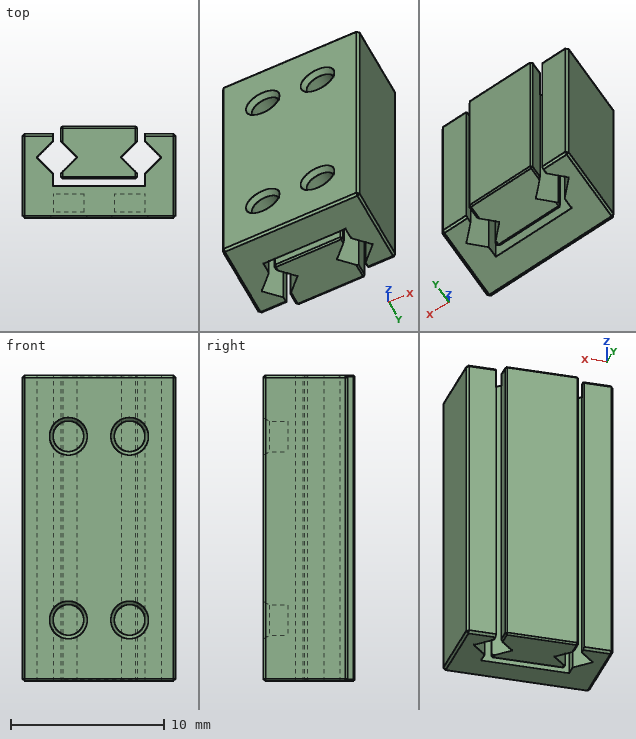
import cadquery as cq

LENGTH = 20.0
HOUSING_WIDTH = 10.0
HOUSING_DEPTH = 5.52
HOUSING_CHAMFER = 0.15
TOTAL_DEPTH = 6.0

SLOT_WIDTH = 6.0
SLOT_FLOOR = 2.1
SIDE_GAP = 0.5
TRACK_Y = 3.95
TRACK_DEPTH = 1.05

RAIL_WIDTH = SLOT_WIDTH - 2 * SIDE_GAP
RAIL_FRONT = 2.58
RAIL_CHAMFER = 0.12

HOLE_DIAMETER = 2.0
COUNTERSINK_DIAMETER = 2.45
COUNTERSINK_DEPTH = 0.4
HOLE_DEPTH = 1.6
HOLE_SPACING_X = 4.0
HOLE_SPACING_Z = 12.0


def block(width, front, back):
    """Full-length block centred on X, from Y = front to Y = back, standing on Z = 0."""
    body = cq.Workplane("XY").box(width, back - front, LENGTH, centered=(True, False, False))
    return body.translate((0, front, 0))


def track_groove(wall_x, direction):
    """Full-length V cutter that opens at X = wall_x and points along X in the given direction."""
    return (
        cq.Workplane("XY")
        .moveTo(wall_x, TRACK_Y - TRACK_DEPTH)
        .lineTo(wall_x + direction * TRACK_DEPTH, TRACK_Y)
        .lineTo(wall_x, TRACK_Y + TRACK_DEPTH)
        .close()
        .extrude(LENGTH)
    )


def mounting_holes():
    """Cutters for the four countersunk blind holes, drilled along +Y from the front face."""
    profile = (
        cq.Workplane("XY")
        .lineTo(COUNTERSINK_DIAMETER / 2, 0)
        .lineTo(HOLE_DIAMETER / 2, COUNTERSINK_DEPTH)
        .lineTo(HOLE_DIAMETER / 2, HOLE_DEPTH)
        .lineTo(0, HOLE_DEPTH)
        .close()
    )
    cutter = profile.revolve(360, (0, 0, 0), (0, 1, 0))
    return [
        cutter.translate((side * HOLE_SPACING_X / 2, 0, LENGTH / 2 + end * HOLE_SPACING_Z / 2))
        for side in (-1, 1)
        for end in (-1, 1)
    ]


def make_housing():
    """U-shaped housing with a V track in each slot wall."""
    housing = block(HOUSING_WIDTH, 0, HOUSING_DEPTH).edges().chamfer(HOUSING_CHAMFER)
    housing = housing.cut(block(SLOT_WIDTH, SLOT_FLOOR, HOUSING_DEPTH))
    for side in (-1, 1):
        housing = housing.cut(track_groove(side * SLOT_WIDTH / 2, side))
    for hole in mounting_holes():
        housing = housing.cut(hole)
    return housing


def make_rail():
    """Rail that stands in the slot, with a V track in each flank."""
    rail = block(RAIL_WIDTH, RAIL_FRONT, TOTAL_DEPTH).edges().chamfer(RAIL_CHAMFER)
    for side in (-1, 1):
        rail = rail.cut(track_groove(side * RAIL_WIDTH / 2, -side))
    return rail


housing = make_housing()
rail = make_rail()

result = cq.Compound.makeCompound([housing.val(), rail.val()])